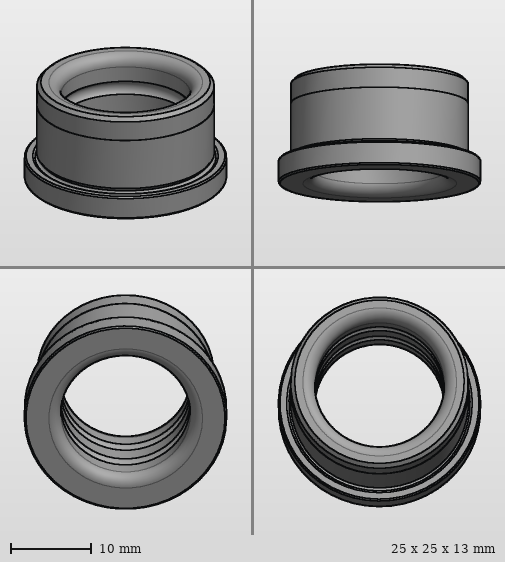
import cadquery as cq
import math

flange_radius = 12.5
flange_height = 3.0
flange_chamfer = 0.2

total_height = 13.0
sleeve_radius = 11.0
lead_radius = 10.98
lead_length = 3.0
lead_chamfer = 0.5

relief_outer_radius = 11.48
relief_ramp_radius = 11.2
relief_ramp_drop = 0.18
relief_floor_radius = 10.8
relief_floor_depth = 0.3
relief_inner_radius = 10.58
relief_sleeve_height = 0.5

bore_radius = 8.0
mouth_radius = 1.5
groove_width = 1.75
groove_depth = 0.5
groove_spacing = 4.28


def revolve(profile):
    """Turn a closed radius-height profile about the Z axis."""
    return profile.close().revolve(360, (0, 0, 0), (0, 1, 0))


def bushing_body():
    """Flanged sleeve with chamfered rims and a bore rounded at both ends."""
    mouth_outer = bore_radius + mouth_radius
    arc_inset = mouth_radius * (1 - math.sqrt(0.5))
    lead_bottom = total_height - lead_length
    profile = (
        cq.Workplane("XZ")
        .moveTo(mouth_outer, 0)
        .lineTo(flange_radius - flange_chamfer, 0)
        .lineTo(flange_radius, flange_chamfer)
        .lineTo(flange_radius, flange_height - flange_chamfer)
        .lineTo(flange_radius - flange_chamfer, flange_height)
        .lineTo(sleeve_radius, flange_height)
        .lineTo(sleeve_radius, lead_bottom)
        .lineTo(lead_radius, lead_bottom)
        .lineTo(lead_radius, total_height - lead_chamfer)
        .lineTo(lead_radius - lead_chamfer, total_height)
        .lineTo(mouth_outer, total_height)
        .threePointArc(
            (bore_radius + arc_inset, total_height - arc_inset),
            (bore_radius, total_height - mouth_radius),
        )
        .lineTo(bore_radius, mouth_radius)
        .threePointArc((bore_radius + arc_inset, arc_inset), (mouth_outer, 0))
    )
    return revolve(profile)


def corner_relief():
    """Ring cut undercutting the sleeve and sinking into the flange face."""
    profile = (
        cq.Workplane("XZ")
        .moveTo(sleeve_radius, flange_height + relief_sleeve_height)
        .lineTo(relief_inner_radius, flange_height)
        .threePointArc(
            (relief_floor_radius, flange_height - relief_floor_depth),
            (relief_ramp_radius, flange_height - relief_ramp_drop),
        )
        .lineTo(relief_outer_radius, flange_height)
        .lineTo(sleeve_radius, flange_height)
    )
    return revolve(profile)


def bore_groove(center_height):
    """Ring cut of circular-arc section in the bore wall."""
    half_width = groove_width / 2
    profile = (
        cq.Workplane("XZ")
        .moveTo(bore_radius, center_height - half_width)
        .threePointArc(
            (bore_radius + groove_depth, center_height),
            (bore_radius, center_height + half_width),
        )
    )
    return revolve(profile)


result = bushing_body().cut(corner_relief())
for side in (-1, 1):
    groove_height = total_height / 2 + side * groove_spacing / 2
    result = result.cut(bore_groove(groove_height))